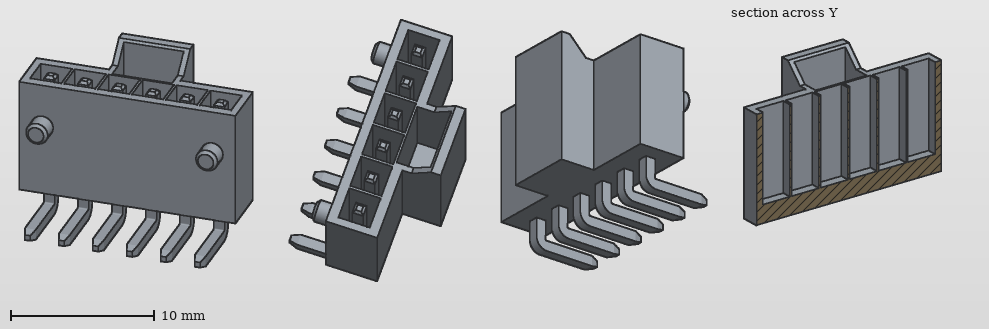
import cadquery as cq

body_width = 15.94
body_depth = 3.8
body_height = 8.48

pin_count = 6
pin_pitch = 2.5
pin_size = 0.8
pin_tip_size = 0.41
pin_y = body_depth / 2
pin_xs = [(i - (pin_count - 1) / 2) * pin_pitch for i in range(pin_count)]

cavity_size = 2.31
cavity_depth = 7.01
cavity_floor = body_height - cavity_depth

pin_drop = 2.33
pin_reach = 3.2
bend_inner_radius = 0.1
bend_outer_radius = bend_inner_radius + pin_size
tail_tip_length = 0.64
head_tip_length = 0.2
head_recess = 0.06
head_top = body_height - head_recess

latch_width = 5.26
latch_depth = 2.84
latch_rise = 1.43
latch_land = 0.72
latch_back = body_depth + latch_depth
latch_top = body_height + latch_rise

pocket_width = 4.4
pocket_length = 2.52
pocket_back_wall = 0.9
pocket_floor = cavity_floor

peg_diameter = 1.6
peg_length = 1.4
peg_chamfer = 0.22
peg_z = 5.26


def box(width, y_start, y_end, z_start, z_end, x=0.0):
    """Box centred on x, spanning the given Y and Z ranges."""
    size = (width, y_end - y_start, z_end - z_start)
    block = cq.Workplane("XY").box(*size, centered=(True, False, False))
    return block.translate((x, y_start, z_start))


def make_latch():
    """Block behind the housing whose raised back slopes down at 45 degrees to the housing top."""
    slope_top = latch_back - latch_land
    return (
        cq.Workplane("YZ", origin=(-latch_width / 2, 0, 0))
        .moveTo(body_depth, 0)
        .lineTo(latch_back, 0)
        .lineTo(latch_back, latch_top)
        .lineTo(slope_top, latch_top)
        .lineTo(slope_top - latch_rise, body_height)
        .lineTo(body_depth, body_height)
        .close()
        .extrude(latch_width)
    )


def make_pocket():
    """Space removed from the latch block and the back wall of the housing."""
    pocket_back = latch_back - pocket_back_wall
    return box(pocket_width, pocket_back - pocket_length, pocket_back, pocket_floor, latch_top)


def make_peg(x):
    """Round peg with a chamfered end."""
    return (
        cq.Workplane("XZ", origin=(x, 0, peg_z))
        .circle(peg_diameter / 2)
        .extrude(peg_length)
        .faces("<Y")
        .chamfer(peg_chamfer)
    )


def make_tip(plane, origin, length):
    """Square pin end tapering along the normal of the plane."""
    return (
        cq.Workplane(plane, origin=origin)
        .rect(pin_size, pin_size)
        .workplane(offset=length)
        .rect(pin_tip_size, pin_tip_size)
        .loft(ruled=True)
    )


def make_pin(x):
    """Square pin standing in its cavity and bent forward below the housing."""
    front = pin_y - pin_size / 2
    back = pin_y + pin_size / 2
    tip_start = tail_tip_length - pin_reach
    shoulder = head_top - head_tip_length
    tail_bottom = -pin_drop
    tail_top = tail_bottom + pin_size
    stem = box(pin_size, front, back, tail_bottom, shoulder, x)
    tail = box(pin_size, tip_start, back, tail_bottom, tail_top, x)
    outer_corner = cq.selectors.NearestToPointSelector((x, back, tail_bottom))
    inner_corner = cq.selectors.NearestToPointSelector((x, front, tail_top))
    bent = stem.union(tail)
    bent = bent.edges(outer_corner).fillet(bend_outer_radius)
    bent = bent.edges(inner_corner).fillet(bend_inner_radius)
    head_tip = make_tip("XY", (x, pin_y, shoulder), head_tip_length)
    tail_tip = make_tip("XZ", (x, tip_start, tail_bottom + pin_size / 2), tail_tip_length)
    return bent.union(head_tip).union(tail_tip)


def make_cavity(x):
    """Square space around one pin, open at the top of the housing."""
    half = cavity_size / 2
    return box(cavity_size, pin_y - half, pin_y + half, cavity_floor, body_height, x)


result = box(body_width, 0, body_depth, 0, body_height)
result = result.union(make_latch()).cut(make_pocket())

for pin_x in pin_xs:
    result = result.cut(make_cavity(pin_x)).union(make_pin(pin_x))

for peg_x in (pin_xs[0], pin_xs[-1]):
    result = result.union(make_peg(peg_x))